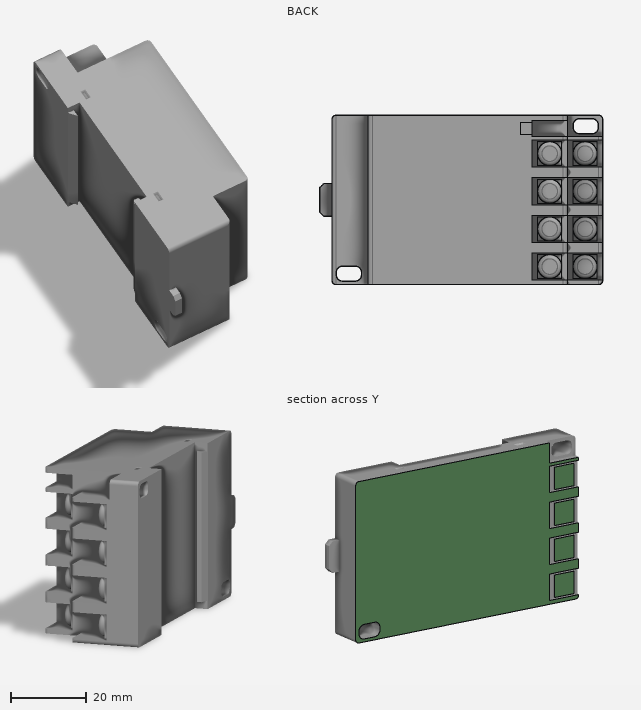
import cadquery as cq

length = 71.9
overall_length = 75.15
height = 30.0
width = 45.0

tower_left = 9.4
tower_right = 62.3
shoulder_height = 18.95
edge_radius = 1.1
rail_left = 18.1
rail_right = 53.65
rail_depth = 3.6

hook_width = 40.6
fixed_hook_reach = 2.2
fixed_hook_height = 1.8
spring_hook_reach = 2.2
spring_hook_base = (0.2, 3.0)
spring_hook_tip = (0.9, 2.25)

tab_width = 8.8
tab_thickness = 2.0
tab_chamfer = 1.1

pocket_count = 4
pocket_pitch = 10.0
pocket_width = 7.2
pocket_bottom = 1.2
pocket_depth = 9.4
lower_floor = 8.95
upper_floor = 21.95

screw_diameter = 6.4
plate_thickness = 1.05
screw_head_height = 2.0
screw_head_radius = 1.1

corner_bottom = 39.4
corner_floor = 8.05
indicator_pocket_top = 43.6

slot_length = 6.6
slot_width = 3.9
slot_radius = 1.6
slot_end_gap = 1.2
slot_side_gap = 1.0

recess_length = 2.9
recess_height = 1.4
recess_depth = 0.45
recess_taper = 45
recess_centre_height = 6.3

indicator_width = 3.2
indicator_height = 2.0
indicator_depth = 3.0


def box(x_range, y_range, z_range):
    """A block between the given limits."""
    size = [high - low for low, high in (x_range, y_range, z_range)]
    corner = (x_range[0], y_range[0], z_range[0])
    return cq.Workplane("XY").box(*size, centered=False).translate(corner)


def make_shell():
    """The stepped outline along Z, cut to a plan with rounded corners at both ends."""
    profile = (
        cq.Workplane("XY")
        .polyline([
            (0, 0),
            (rail_left, 0),
            (rail_left, rail_depth),
            (rail_right, rail_depth),
            (rail_right, 0),
            (length, 0),
            (length, shoulder_height),
            (tower_right, shoulder_height),
            (tower_right, height),
            (tower_left, height),
            (tower_left, shoulder_height),
            (0, shoulder_height),
        ])
        .close()
        .extrude(width)
    )
    outer_corners = [
        (0, shoulder_height),
        (tower_left, height),
        (tower_right, height),
        (length, shoulder_height),
    ]
    for x, y in outer_corners:
        profile = profile.edges(cq.NearestToPointSelector((x, y, width / 2))).fillet(edge_radius)
    plan = box((0, length), (0, height), (0, width)).edges("|Y").fillet(edge_radius)
    return profile.intersect(plan)


def make_hooks():
    """A fixed hook and a spring hook, facing each other across the rail channel."""
    hook_start = (width - hook_width) / 2
    fixed_hook = [
        (rail_left, 0),
        (rail_left + fixed_hook_reach, fixed_hook_height),
        (rail_left, fixed_hook_height),
    ]
    tip_x = rail_right - spring_hook_reach
    spring_hook = [
        (rail_right, spring_hook_base[0]),
        (rail_right, spring_hook_base[1]),
        (tip_x, spring_hook_tip[1]),
        (tip_x, spring_hook_tip[0]),
    ]
    plane = cq.Workplane("XY").workplane(offset=hook_start)
    fixed_solid = plane.polyline(fixed_hook).close().extrude(hook_width)
    spring_solid = plane.polyline(spring_hook).close().extrude(hook_width)
    return fixed_solid, spring_solid


def make_tab():
    """Pull tab in the middle of the right end."""
    z_range = ((width - tab_width) / 2, (width + tab_width) / 2)
    tab = box((length, overall_length), (0, tab_thickness), z_range)
    return tab.edges("|Y and >X").chamfer(tab_chamfer)


def make_slot(x_start, z_start):
    """Cutter for a mounting slot that passes right through along Y."""
    slot = box((x_start, x_start + slot_length), (0, height), (z_start, z_start + slot_width))
    return slot.edges("|Y").fillet(slot_radius)


def make_recess(x_start):
    """Cutter for a recess in the upper face whose sides taper inwards."""
    return (
        cq.Workplane("XY", origin=(x_start + recess_length / 2, recess_centre_height, width))
        .rect(recess_length, recess_height)
        .extrude(-recess_depth, taper=recess_taper)
    )


def make_terminal(x_centre, floor, z_centre):
    """Square plate on a pocket floor, with a round-edged screw head on it."""
    half = screw_diameter / 2
    plate_top = floor + plate_thickness
    plate = box(
        (x_centre - half, x_centre + half),
        (floor, plate_top),
        (z_centre - half, z_centre + half),
    )
    head = (
        cq.Workplane("XZ", origin=(x_centre, plate_top, z_centre))
        .circle(half)
        .extrude(-screw_head_height)
        .faces(">Y")
        .edges()
        .fillet(screw_head_radius)
    )
    return plate.union(head)


def add_terminal_row(body, x_start, floor):
    """Cut one row of pockets and put a plate and screw into each."""
    x_range = (x_start, x_start + pocket_depth)
    for index in range(pocket_count):
        z_start = pocket_bottom + index * pocket_pitch
        body = body.cut(box(x_range, (floor, height), (z_start, z_start + pocket_width)))
        z_centre = z_start + pocket_width / 2
        body = body.union(make_terminal(x_start + pocket_depth / 2, floor, z_centre))
    return body


def make_indicator():
    """Block set in the rear wall of the indicator pocket, level with the front of the tower."""
    x_start = tower_left + pocket_depth
    z_centre = (corner_bottom + indicator_pocket_top) / 2
    return box(
        (x_start, x_start + indicator_depth),
        (height - indicator_height, height),
        (z_centre - indicator_width / 2, z_centre + indicator_width / 2),
    )


def make_housing(indicator):
    """Shell with hooks, tab, terminals, mounting slots and a seat for the indicator."""
    body = make_shell()
    for part in (*make_hooks(), make_tab()):
        body = body.union(part)

    body = body.cut(box((0, tower_left), (corner_floor, shoulder_height), (corner_bottom, width)))
    indicator_pocket = box(
        (tower_left, tower_left + pocket_depth),
        (upper_floor, height),
        (corner_bottom, indicator_pocket_top),
    )
    body = body.cut(indicator_pocket).cut(indicator)

    body = add_terminal_row(body, 0, lower_floor)
    body = add_terminal_row(body, tower_left, upper_floor)

    body = body.cut(make_slot(slot_end_gap, width - slot_side_gap - slot_width))
    body = body.cut(make_slot(length - slot_end_gap - slot_length, slot_side_gap))
    for x_start in (rail_left - recess_length, rail_right):
        body = body.cut(make_recess(x_start))
    return body


indicator = make_indicator()
housing = make_housing(indicator)

result = cq.Compound.makeCompound([housing.val(), indicator.val()])